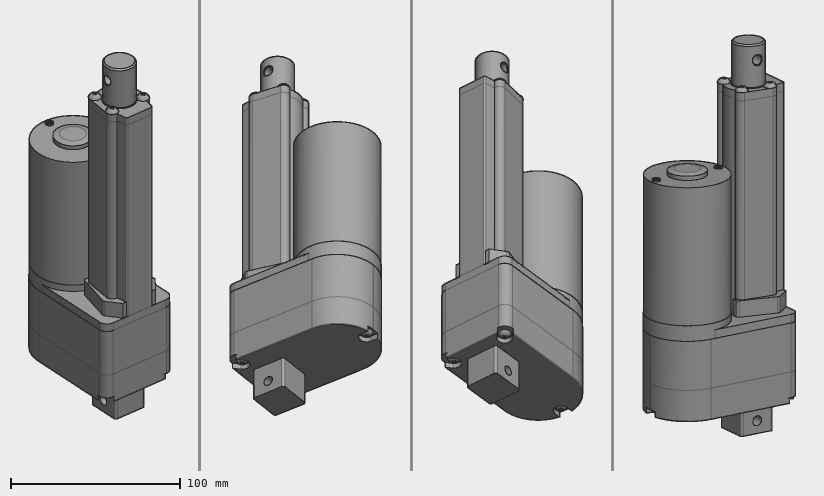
import cadquery as cq
import math


HOUSING_WIDTH = 52.2
HOUSING_LEFT = -HOUSING_WIDTH / 2
HOUSING_LENGTH = 88.3
HOUSING_RIGHT = HOUSING_LEFT + HOUSING_LENGTH
NOSE_RADIUS = 25.75
CORNER_RADIUS = 5.8
COVER_BOTTOM = 20.3
COVER_TOP = 40.0
COVER_EDGE_ROUND = 0.5
BODY_TOP = 70.4
DECK_TOP = 75.7
DECK_WIDTH = 52.0

POCKET_DIAMETER = 9.5
POCKET_DEPTH = 3.6
POCKET_OUTLET = 14.5
NOSE_POCKET_X = -21.3
CORNER_POCKET_X = 55.1
CORNER_POCKET_Y = 19.3

DOME_DIAMETER = 8.0
DOME_HEIGHT = 3.0

COLLAR_DIAMETER = HOUSING_WIDTH
COLLAR_TOP = 80.0
MOTOR_DIAMETER = 52.0
MOTOR_TOP = 165.9
BOSS_DIAMETER = 24.0
BOSS_HEIGHT = 2.7
BOSS_TIP_DIAMETER = 16.0
BOSS_TIP_HEIGHT = 1.0
MOTOR_SCREW_OFFSET = 22.0
MOTOR_SCREW_DIAMETER = 5.0
MOTOR_SCREW_TIP_DIAMETER = 4.0
MOTOR_SCREW_HEIGHT = 1.2

TUBE_TOP = 214.7
TUBE_CAP_THICKNESS = 5.0
TUBE_CAP_BOTTOM = TUBE_TOP - TUBE_CAP_THICKNESS
TUBE_LEFT = 27.8
LOBE_RADIUS = 3.9
LEFT_LOBE = (32.2, 9.7)
RIGHT_LOBE = (50.8, 11.8)
TUBE_BACK_HALF_WIDTH = 10.0
TUBE_BACK_ROUND = 1.2
TUBE_FRONT_ARC_END = (29.5, 6.8)
FLANGE_TOP = 85.8
FLANGE_LEFT = (26.5, 13.5)
FLANGE_PEAK = (52.2, 19.8)
FLANGE_RIGHT = (61.7, 12.5)
FLANGE_LEFT_ROUND = 1.5
FLANGE_PEAK_ROUND = 2.5
FLANGE_NOTCH_X = 29.5
FLANGE_NOTCH_HALF_WIDTH = 9.0

ROD_X = 43.3
ROD_DIAMETER = 20.0
ROD_TOP = 241.8
ROD_EDGE_CHAMFER = 1.0
ROD_PIN_Z = 232.0
WIPER_DIAMETER = 21.0
WIPER_HEIGHT = 0.5

TANG_X = 42.0
TANG_SIDE = 22.5
TANG_CORNER_ROUND = 1.5
TANG_PIN_Z = 8.0
PIN_DIAMETER = 6.0
ROD_PIN_CHAMFER = 0.5

RECESS_WIDTH = 0.7
RECESS_LENGTH = 2.5
RECESS_DEPTH = 1.2


def cylinder(x, y, bottom, top, diameter):
    """Upright cylinder between two heights."""
    return cq.Workplane("XY", origin=(x, y, bottom)).circle(diameter / 2).extrude(top - bottom)


def pin_hole(x, z):
    """Cutter for a cross hole along Y, longer than the housing is wide."""
    hole = cq.Workplane("XZ", origin=(x, 0, z)).circle(PIN_DIAMETER / 2)
    return hole.extrude(HOUSING_WIDTH / 2, both=True)


def cut_cross(head, top):
    """Cut a cross recess into the top of a screw head centred on the Z axis."""
    plane = cq.Workplane("XY", origin=(0, 0, top))
    for length, width in ((RECESS_LENGTH, RECESS_WIDTH), (RECESS_WIDTH, RECESS_LENGTH)):
        head = head.cut(plane.rect(length, width).extrude(-RECESS_DEPTH))
    return head


def dome_screw():
    """Domed screw head with a cross recess, seated at Z = 0 and pointing up."""
    rim_radius = DOME_DIAMETER / 2
    sphere_radius = (rim_radius**2 + DOME_HEIGHT**2) / (2 * DOME_HEIGHT)
    half_angle = math.asin(rim_radius / sphere_radius) / 2
    drop = sphere_radius * (1 - math.cos(half_angle))
    middle = (sphere_radius * math.sin(half_angle), DOME_HEIGHT - drop)
    head = (
        cq.Workplane("XZ")
        .lineTo(rim_radius, 0)
        .threePointArc(middle, (0, DOME_HEIGHT))
        .close()
        .revolve(360, (0, 0), (0, 1))
    )
    return cut_cross(head, DOME_HEIGHT)


def motor_screw():
    """Flat screw head with a bevelled rim and a cross recess, seated at Z = 0."""
    head = cylinder(0, 0, 0, MOTOR_SCREW_HEIGHT, MOTOR_SCREW_DIAMETER)
    head = head.faces(">Z").chamfer((MOTOR_SCREW_DIAMETER - MOTOR_SCREW_TIP_DIAMETER) / 2)
    return cut_cross(head, MOTOR_SCREW_HEIGHT)


def housing_layer(bottom, top):
    """Slice of the gear housing: round nose at -X, small corner rounds at +X."""
    layer = (
        cq.Workplane("XY", origin=(HOUSING_LEFT + HOUSING_LENGTH / 2, 0, bottom))
        .rect(HOUSING_LENGTH, HOUSING_WIDTH)
        .extrude(top - bottom)
    )
    layer = layer.edges("|Z and <X").fillet(NOSE_RADIUS)
    return layer.edges("|Z and >X").fillet(CORNER_RADIUS)


def deck():
    """Raised floor beside the motor, slightly narrower than the housing."""
    plane = cq.Workplane("XY", origin=(HOUSING_RIGHT / 2, 0, BODY_TOP))
    body = plane.rect(HOUSING_RIGHT, DECK_WIDTH).extrude(DECK_TOP - BODY_TOP)
    return body.edges("|Z and >X").fillet(CORNER_RADIUS)


def screw_pocket(x, y, direction):
    """Cutter for a round-ended pocket in the cover that runs outwards at an angle about Z."""
    plane = cq.Workplane("XY", origin=(0, 0, COVER_BOTTOM))
    cutter = plane.circle(POCKET_DIAMETER / 2).extrude(POCKET_DEPTH)
    outlet = plane.center(POCKET_OUTLET / 2, 0).rect(POCKET_OUTLET, POCKET_DIAMETER).extrude(POCKET_DEPTH)
    return cutter.union(outlet).rotate((0, 0, 0), (0, 0, 1), direction).translate((x, y, 0))


def cover():
    """Lower housing cover with three open screw pockets and their screws."""
    body = housing_layer(COVER_BOTTOM, COVER_TOP).faces("<Z").edges().fillet(COVER_EDGE_ROUND)
    downward_screw = dome_screw().rotate((0, 0, 0), (1, 0, 0), 180)
    places = (
        (NOSE_POCKET_X, 0, 180),
        (CORNER_POCKET_X, CORNER_POCKET_Y, 45),
        (CORNER_POCKET_X, -CORNER_POCKET_Y, -45),
    )
    for x, y, direction in places:
        body = body.cut(screw_pocket(x, y, direction))
        body = body.union(downward_screw.translate((x, y, COVER_BOTTOM + POCKET_DEPTH)))
    return body


def motor():
    """Motor can with its collar, end boss and two screws."""
    body = cylinder(0, 0, BODY_TOP, COLLAR_TOP, COLLAR_DIAMETER)
    body = body.union(cylinder(0, 0, COLLAR_TOP, MOTOR_TOP, MOTOR_DIAMETER))
    boss_top = MOTOR_TOP + BOSS_HEIGHT
    body = body.union(cylinder(0, 0, MOTOR_TOP, boss_top, BOSS_DIAMETER))
    tip = (
        cq.Workplane("XY", origin=(0, 0, boss_top))
        .circle(BOSS_DIAMETER / 2)
        .workplane(offset=BOSS_TIP_HEIGHT)
        .circle(BOSS_TIP_DIAMETER / 2)
        .loft(ruled=True)
    )
    body = body.union(tip)
    for x in (-MOTOR_SCREW_OFFSET, MOTOR_SCREW_OFFSET):
        body = body.union(motor_screw().translate((x, 0, MOTOR_TOP)))
    return body


def tube_layer(bottom, top):
    """Length of tube: bowed front, flat back and four screw lobes."""
    height = top - bottom
    plane = cq.Workplane("XY", origin=(0, 0, bottom))
    left_x, left_y = LEFT_LOBE
    right_x, right_y = RIGHT_LOBE
    front_x, front_y = TUBE_FRONT_ARC_END
    layer = (
        plane.moveTo(front_x, -front_y)
        .threePointArc((TUBE_LEFT, 0), TUBE_FRONT_ARC_END)
        .lineTo(left_x, left_y)
        .lineTo(right_x, right_y)
        .lineTo(HOUSING_RIGHT, TUBE_BACK_HALF_WIDTH)
        .lineTo(HOUSING_RIGHT, -TUBE_BACK_HALF_WIDTH)
        .lineTo(right_x, -right_y)
        .lineTo(left_x, -left_y)
        .close()
        .extrude(height)
    )
    layer = layer.edges("|Z and >X").fillet(TUBE_BACK_ROUND)
    spacing = math.dist(LEFT_LOBE, RIGHT_LOBE)
    tilt = math.degrees(math.atan2(right_y - left_y, right_x - left_x))
    for side in (-1, 1):
        middle = ((left_x + right_x) / 2, side * (left_y + right_y) / 2)
        wall = plane.center(*middle).slot2D(spacing + 2 * LOBE_RADIUS, 2 * LOBE_RADIUS, side * tilt)
        layer = layer.union(wall.extrude(height))
    return layer


def flange():
    """Kite-shaped foot of the tube, notched beside the motor."""
    upper = [(FLANGE_NOTCH_X, FLANGE_NOTCH_HALF_WIDTH), (FLANGE_LEFT[0], FLANGE_NOTCH_HALF_WIDTH)]
    upper += [FLANGE_LEFT, FLANGE_PEAK, FLANGE_RIGHT]
    lower = [(x, -y) for x, y in reversed(upper)]
    plane = cq.Workplane("XY", origin=(0, 0, DECK_TOP))
    body = plane.polyline(upper + lower).close().extrude(FLANGE_TOP - DECK_TOP)
    corner_rounds = ((FLANGE_LEFT, FLANGE_LEFT_ROUND), (FLANGE_PEAK, FLANGE_PEAK_ROUND))
    for (x, y), radius in corner_rounds:
        for side in (-1, 1):
            corner = cq.selectors.NearestToPointSelector((x, side * y, (DECK_TOP + FLANGE_TOP) / 2))
            body = body.edges("|Z").edges(corner).fillet(radius)
    return body


def tube_screws():
    """List of four domed screws on the tube's end cap, one per lobe."""
    return [
        dome_screw().translate((x, side * y, TUBE_TOP))
        for x, y in (LEFT_LOBE, RIGHT_LOBE)
        for side in (-1, 1)
    ]


def rod():
    """Output rod with wiper ring and cross hole."""
    body = cylinder(ROD_X, 0, TUBE_TOP, ROD_TOP, ROD_DIAMETER)
    body = body.faces(">Z").chamfer(ROD_EDGE_CHAMFER)
    body = body.union(cylinder(ROD_X, 0, TUBE_TOP, TUBE_TOP + WIPER_HEIGHT, WIPER_DIAMETER))
    body = body.cut(pin_hole(ROD_X, ROD_PIN_Z))
    for side in (-1, 1):
        rim = cq.selectors.NearestToPointSelector((ROD_X, side * ROD_DIAMETER / 2, ROD_PIN_Z))
        body = body.edges(rim).chamfer(ROD_PIN_CHAMFER)
    return body


def tang():
    """Square mounting tang with rounded corners and a cross hole."""
    body = cq.Workplane("XY", origin=(TANG_X, 0, 0)).rect(TANG_SIDE, TANG_SIDE).extrude(COVER_BOTTOM)
    body = body.edges("|Z").fillet(TANG_CORNER_ROUND)
    return body.cut(pin_hole(TANG_X, TANG_PIN_Z))


parts = [
    housing_layer(COVER_TOP, BODY_TOP),
    deck(),
    motor(),
    flange(),
    tube_layer(DECK_TOP, TUBE_CAP_BOTTOM),
    tube_layer(TUBE_CAP_BOTTOM, TUBE_TOP),
    rod(),
    tang(),
    *tube_screws(),
]

result = cover()
for part in parts:
    result = result.union(part, clean=False)